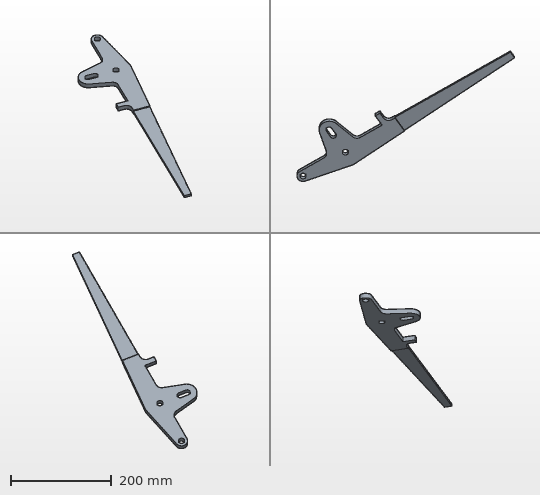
import cadquery as cq
import math

length = 510.0
body_thickness = 10.0
blade_thickness = 5.0
hole_diameter = 12.0
end_radius = 12.0
crown_radius = 32.0
hole_spacing = 100.0
body_length = 237.0
blade_tip_height = 15.5
fillet_radius = 12.0

overall_width = 111.5
lobe_radius = 20.5
lobe_side_angle = 15.0
slot_top_center = -45.0
slot_bottom_center = -60.0

tab_left = 94.5
tab_width = 11.0
tab_depth = 25.0

nose_x = -hole_spacing
left_x = nose_x - end_radius
right_x = left_x + length
step_x = left_x + body_length
bottom_y = -end_radius
tip_y = bottom_y + blade_tip_height
lobe_center_y = crown_radius - overall_width + lobe_radius
tab_right = tab_left + tab_width
tab_bottom = bottom_y - tab_depth


def on_circle(center_x, center_y, radius, degrees):
    angle = math.radians(degrees)
    return (center_x + radius * math.cos(angle), center_y + radius * math.sin(angle))


nose_angle = 90 + math.degrees(math.asin((crown_radius - end_radius) / hole_spacing))
tip_distance = math.hypot(right_x, tip_y)
crown_angle = math.degrees(math.atan2(tip_y, right_x) + math.acos(crown_radius / tip_distance))
crown_middle_angle = (nose_angle + crown_angle) / 2
nose_middle_angle = (nose_angle + 270) / 2


def lever_profile():
    """Nose, crown and tapering blade in one outline."""
    return (
        cq.Workplane("XY")
        .moveTo(nose_x, bottom_y)
        .lineTo(right_x, bottom_y)
        .lineTo(right_x, tip_y)
        .lineTo(*on_circle(0, 0, crown_radius, crown_angle))
        .threePointArc(
            on_circle(0, 0, crown_radius, crown_middle_angle),
            on_circle(0, 0, crown_radius, nose_angle),
        )
        .lineTo(*on_circle(nose_x, 0, end_radius, nose_angle))
        .threePointArc(
            on_circle(nose_x, 0, end_radius, nose_middle_angle),
            (nose_x, bottom_y),
        )
        .close()
    )


def lever(thickness):
    return lever_profile().extrude(thickness / 2, both=True)


def slab(x_start, x_end, y_start, y_end):
    """Full-thickness rectangular block centred on the mid-plane."""
    return (
        cq.Workplane("XY")
        .moveTo(x_start, y_start)
        .lineTo(x_end, y_start)
        .lineTo(x_end, y_end)
        .lineTo(x_start, y_end)
        .close()
        .extrude(body_thickness / 2, both=True)
    )


def lobe():
    """Tapered arm with a round end, running up to the pivot height."""
    tangent_x, tangent_y = on_circle(0, lobe_center_y, lobe_radius, -lobe_side_angle)
    root_x = tangent_x - tangent_y * math.tan(math.radians(lobe_side_angle))
    return (
        cq.Workplane("XY")
        .moveTo(-root_x, 0)
        .lineTo(-tangent_x, tangent_y)
        .threePointArc((0, lobe_center_y - lobe_radius), (tangent_x, tangent_y))
        .lineTo(root_x, 0)
        .close()
        .extrude(body_thickness / 2, both=True)
    )


body = lever(body_thickness).intersect(slab(left_x, step_x, bottom_y, crown_radius))
body = body.union(lobe()).union(slab(tab_left, tab_right, tab_bottom, 0))

lobe_root_x = (
    lobe_radius / math.cos(math.radians(lobe_side_angle))
    + (bottom_y - lobe_center_y) * math.tan(math.radians(lobe_side_angle))
)
for corner_x in (-lobe_root_x, lobe_root_x, tab_right):
    corner = cq.selectors.NearestToPointSelector((corner_x, bottom_y, 0))
    body = body.edges("|Z").edges(corner).fillet(fillet_radius)

blade = lever(blade_thickness).intersect(slab(step_x, right_x, bottom_y, crown_radius))
result = body.union(blade)

holes = (
    cq.Workplane("XY")
    .pushPoints([(nose_x, 0), (0, 0)])
    .circle(hole_diameter / 2)
    .extrude(body_thickness, both=True)
)
slot = (
    cq.Workplane("XY")
    .center(0, (slot_top_center + slot_bottom_center) / 2)
    .slot2D(slot_top_center - slot_bottom_center + hole_diameter, hole_diameter, 90)
    .extrude(body_thickness, both=True)
)
result = result.cut(holes).cut(slot)